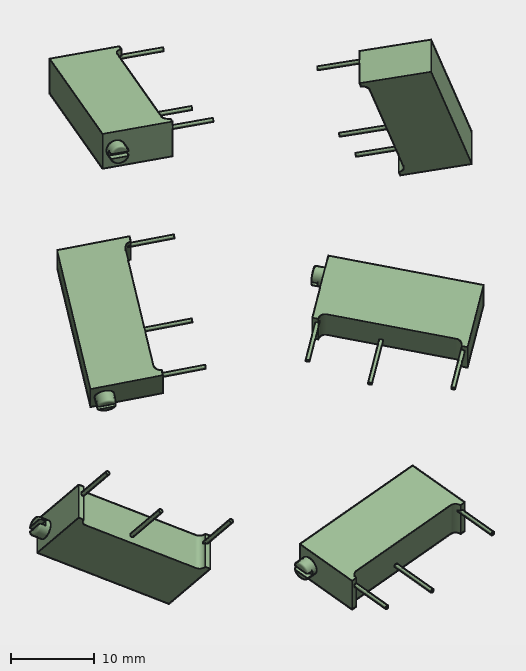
import cadquery as cq

body_length = 19.05
body_depth = 8.89
body_height = 4.83

recess_depth = 0.85
foot_width = 0.75

pin_diameter = 0.51
pin_tip_y = 14.21
pin_embed = 0.82
pin_pitch = 2.55
outer_pin_steps = 7
middle_pin_steps = 4
pin_row_z = pin_pitch / 2

screw_diameter = 2.4
screw_length = 20.57 - body_length
screw_y = 1.69
screw_round = 0.25
slot_width = 0.65
slot_depth = 0.82


def make_housing():
    """Block whose back face is recessed between two feet, with concave quarter-round ends."""
    floor_y = body_depth - recess_depth
    arc_drop = recess_depth * 0.5 ** 0.5
    right_foot_x = body_length - foot_width
    outline = (
        cq.Workplane("XY", origin=(0, 0, -body_height / 2))
        .lineTo(body_length, 0)
        .lineTo(body_length, body_depth)
        .lineTo(right_foot_x, body_depth)
        .threePointArc(
            (right_foot_x - recess_depth + arc_drop, body_depth - arc_drop),
            (right_foot_x - recess_depth, floor_y),
        )
        .lineTo(foot_width + recess_depth, floor_y)
        .threePointArc(
            (foot_width + recess_depth - arc_drop, body_depth - arc_drop),
            (foot_width, body_depth),
        )
        .lineTo(0, body_depth)
        .close()
    )
    return outline.extrude(body_height)


def make_pin(x, z):
    """Round pin along Y, rooted inside the housing below the recess floor."""
    root_y = body_depth - recess_depth - pin_embed
    return (
        cq.Workplane("XZ", origin=(x, root_y, z))
        .circle(pin_diameter / 2)
        .extrude(root_y - pin_tip_y)
    )


def make_screw():
    """Round-edged screw head on the +X face with a driver slot along Y."""
    head = (
        cq.Workplane("YZ", origin=(body_length, screw_y, 0))
        .circle(screw_diameter / 2)
        .extrude(screw_length)
        .faces(">X")
        .edges()
        .fillet(screw_round)
    )
    slot = cq.Workplane("XY").box(2 * slot_depth, screw_diameter, slot_width)
    return head.cut(slot.translate((body_length + screw_length, screw_y, 0)))


first_pin_x = (body_length - outer_pin_steps * pin_pitch) / 2
result = make_housing().union(make_screw())
for steps, pin_z in [
    (0, pin_row_z),
    (middle_pin_steps, -pin_row_z),
    (outer_pin_steps, pin_row_z),
]:
    result = result.union(make_pin(first_pin_x + steps * pin_pitch, pin_z))